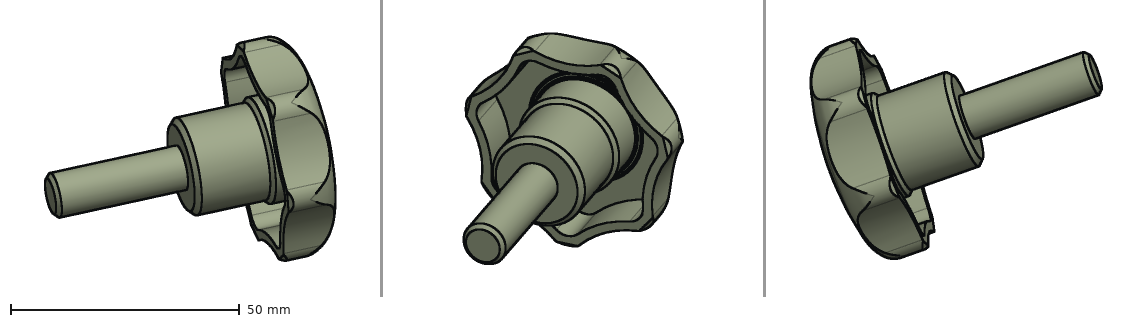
import cadquery as cq
import math

total_length = 62.0
lobe_count = 7

head_height = 15.0
head_radius = 25.0
lobe_radius = 4.0
flute_depth_radius = 21.25
crown_edge_radius = 7.7
crown_edge_depth = 10.1
lobe_chamfer = 1.0
blank_allowance = 0.6

cavity_depth = 10.55
cavity_tip_radius = 22.0
cavity_lobe_radius = 3.7
cavity_flute_radius = 19.05

collar_radius = 11.95
collar_chamfer = 1.0
foot_steps = ((12.45, 0.7), (13.15, 0.25), (13.6, 0.1))
hub_radius = 11.0
hub_length = 17.0
hub_chamfer = 1.25
stud_radius = 5.0
stud_chamfer = 1.0

lobe_pitch = 360 / lobe_count
half_pitch = math.radians(lobe_pitch / 2)

rim_y = 0.0
crown_y = rim_y + head_height
stud_end_y = crown_y - total_length
hub_end_y = rim_y - hub_length


def polar(radius, angle):
    return (radius * math.cos(angle), radius * math.sin(angle))


def lobed_outline(tip_radius, round_radius, valley_radius):
    """Closed outline of tangent lobe and flute arcs, one lobe pointing to -Z.

    The local axes are X and Z of the part.
    """
    lobe_center = tip_radius - round_radius
    across = lobe_center * math.sin(half_pitch)
    rise = valley_radius - lobe_center * math.cos(half_pitch)
    flute_radius = (across**2 + rise**2 - round_radius**2) / (2 * (round_radius - rise))
    share = round_radius / (flute_radius + round_radius)
    tangent_across = across * (1 - share)
    flute_center = valley_radius + flute_radius
    tangent_along = lobe_center * math.cos(half_pitch) * (1 - share) + flute_center * share
    tangent_radius = math.hypot(tangent_across, tangent_along)
    tangent_offset = half_pitch - math.atan2(tangent_across, tangent_along)

    first_lobe = -math.pi / 2
    outline = cq.Workplane("XZ", origin=(0, crown_y, 0))
    outline = outline.moveTo(*polar(tangent_radius, first_lobe - tangent_offset))
    for index in range(lobe_count):
        lobe = first_lobe + 2 * half_pitch * index
        following = lobe + 2 * half_pitch
        outline = outline.threePointArc(
            polar(tip_radius, lobe), polar(tangent_radius, lobe + tangent_offset)
        )
        outline = outline.threePointArc(
            polar(valley_radius, lobe + half_pitch),
            polar(tangent_radius, following - tangent_offset),
        )
    return outline.close()


def revolve_about_axis(profile):
    return profile.close().revolve(360, (0, 0, 0), (0, 1, 0))


def crown_blank():
    """Round blank whose shallow dome runs tangent into a rounded edge."""
    edge_x = head_radius - crown_edge_radius
    edge_y = crown_y - crown_edge_depth
    outer_radius = head_radius + blank_allowance
    dome_radius = (edge_x**2 + crown_edge_depth**2 - crown_edge_radius**2) / (
        2 * (crown_edge_depth - crown_edge_radius)
    )
    dome_angle = math.asin(edge_x / (dome_radius - crown_edge_radius))
    dome_center_y = crown_y - dome_radius

    def on_dome(angle):
        return (dome_radius * math.sin(angle), dome_center_y + dome_radius * math.cos(angle))

    edge_angle = (dome_angle + math.pi / 2) / 2
    edge_middle = (
        edge_x + crown_edge_radius * math.sin(edge_angle),
        edge_y + crown_edge_radius * math.cos(edge_angle),
    )
    return revolve_about_axis(
        cq.Workplane("XY")
        .moveTo(0, rim_y)
        .lineTo(0, crown_y)
        .threePointArc(on_dome(dome_angle / 2), on_dome(dome_angle))
        .threePointArc(edge_middle, (head_radius, edge_y))
        .lineTo(outer_radius, edge_y)
        .lineTo(outer_radius, rim_y)
    )


def lobe_chamfer_cutter(index):
    """Wedge that bevels the rim corner of one lobe with a flat face."""
    return (
        cq.Workplane("YZ")
        .moveTo(rim_y, -head_radius)
        .lineTo(rim_y + lobe_chamfer, -head_radius)
        .lineTo(rim_y, -head_radius + lobe_chamfer)
        .close()
        .extrude(lobe_radius, both=True)
        .rotate((0, 0, 0), (0, 1, 0), index * lobe_pitch)
    )


def grip_head():
    prism = lobed_outline(head_radius, lobe_radius, flute_depth_radius).extrude(head_height)
    head = prism.intersect(crown_blank())
    for index in range(lobe_count):
        head = head.cut(lobe_chamfer_cutter(index))
    cavity = (
        lobed_outline(cavity_tip_radius, cavity_lobe_radius, cavity_flute_radius)
        .extrude(cavity_depth)
        .translate((0, rim_y + cavity_depth - crown_y, 0))
    )
    return head.cut(cavity)


def hub_and_stud():
    """Turned core: stepped collar in the cavity, hub below it, then the stud."""
    floor_y = rim_y + cavity_depth
    profile = (
        cq.Workplane("XY")
        .moveTo(0, stud_end_y)
        .lineTo(stud_radius - stud_chamfer, stud_end_y)
        .lineTo(stud_radius, stud_end_y + stud_chamfer)
        .lineTo(stud_radius, hub_end_y)
        .lineTo(hub_radius - hub_chamfer, hub_end_y)
        .lineTo(hub_radius, hub_end_y + hub_chamfer)
        .lineTo(hub_radius, rim_y)
        .lineTo(collar_radius, rim_y + collar_chamfer)
    )
    step_radius = collar_radius
    for next_radius, step_height in foot_steps:
        profile = profile.lineTo(step_radius, floor_y - step_height)
        profile = profile.lineTo(next_radius, floor_y - step_height)
        step_radius = next_radius
    profile = profile.lineTo(step_radius, floor_y).lineTo(0, floor_y)
    return revolve_about_axis(profile)


result = grip_head().union(hub_and_stud())